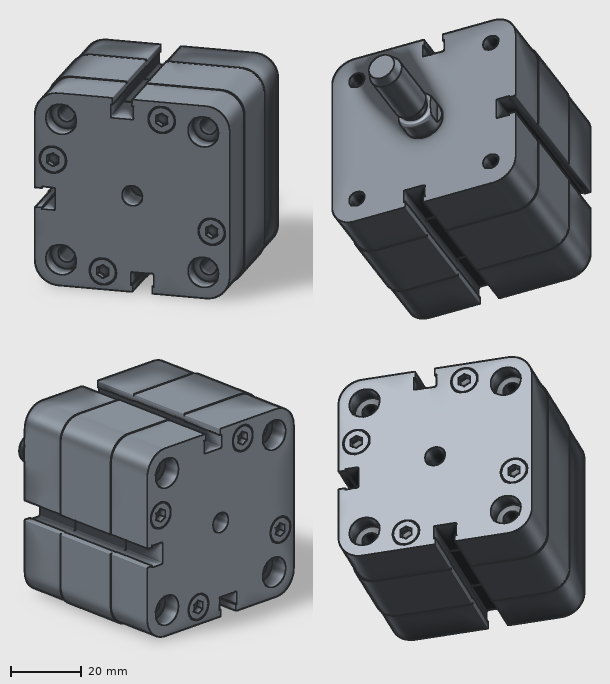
import cadquery as cq
import math


total_length = 79.0
cap_length = 14.9
barrel_length = 20.8
barrel_width = 58.1
cap_width = 57.6
corner_radius = 7.0
body_length = 2 * cap_length + barrel_length

slot_offset = 3.0
slot_mouth_width = 5.8
slot_inner_width = 6.7
slot_lip_depth = 2.05
slot_depth = 6.0
slot_mouth_radius = 0.3
slot_floor_radius = 0.5
slot_angles = (0, 90, 180)

mount_spacing = 42.0
mount_diameter = 4.9
mount_bore_diameter = 9.0
mount_bore_depth = 5.5

screw_offset = 8.7
screw_height = 23.5
screw_centers = (
    (screw_offset, screw_height),
    (-screw_height, screw_offset),
    (-screw_offset, -screw_height),
    (screw_height, -screw_offset),
)
screw_bore_diameter = 8.0
screw_head_diameter = 7.5
screw_gap_depth = 0.8
hex_across_flats = 3.5
hex_depth = 2.4

center_hole_diameter = 6.0
center_hole_depth = 9.5

collar_diameter = 12.0
collar_length = 6.3
collar_edge_radius = 1.3
flats_width = 10.0
flats_length = 4.6
neck_diameter = 8.0
thread_diameter = 10.0
thread_length = 19.5
tip_diameter = 8.0
tip_length = 2.8
thread_end_chamfer = 0.4


def on_y(y):
    """Workplane at the given y, with local x = X and local y = Z; negative extrusions go towards +Y."""
    return cq.Workplane("XZ", origin=(0, y, 0))


def turned(shape, angle):
    """Turn a shape about the cylinder axis, from the top towards -X for positive angles."""
    return shape.rotate((0, 0, 0), (0, 1, 0), -angle)


def slot_cutter(width, start, length):
    """T-slot in the top side of a square block of the given width."""
    surface = width / 2
    mouth = slot_mouth_width / 2
    inner = slot_inner_width / 2
    lip = surface - slot_lip_depth
    floor = surface - slot_depth
    r = slot_mouth_radius
    bend = r * (1 - math.sqrt(0.5))
    profile = (
        on_y(start)
        .center(-slot_offset, 0)
        .moveTo(-mouth - r, surface)
        .threePointArc((-mouth - bend, surface - bend), (-mouth, surface - r))
        .lineTo(-mouth, lip)
        .lineTo(-inner, lip)
        .lineTo(-inner, floor)
        .lineTo(inner, floor)
        .lineTo(inner, lip)
        .lineTo(mouth, lip)
        .lineTo(mouth, surface - r)
        .threePointArc((mouth + bend, surface - bend), (mouth + r, surface))
        .close()
    )
    return profile.extrude(-length).faces("<Z").edges("|Y").fillet(slot_floor_radius)


def body_section(width, start, length):
    """Rounded square block with the sensor slots."""
    section = on_y(start).rect(width, width).extrude(-length).edges("|Y").fillet(corner_radius)
    cutter = slot_cutter(width, start, length)
    for angle in slot_angles:
        section = section.cut(turned(cutter, angle))
    return section


def mounting_holes():
    centers = on_y(0).rect(mount_spacing, mount_spacing, forConstruction=True).vertices()
    through = centers.circle(mount_diameter / 2).extrude(-body_length)
    bores = centers.circle(mount_bore_diameter / 2).extrude(-mount_bore_depth)
    return through.union(bores)


def screw_recess(x, z):
    """Ring gap around a screw head, and the hexagon socket in the head with corners up and down."""
    gap = (
        on_y(0)
        .center(x, z)
        .circle(screw_bore_diameter / 2)
        .circle(screw_head_diameter / 2)
        .extrude(-screw_gap_depth)
    )
    across_corners = hex_across_flats / math.cos(math.pi / 6)
    socket = on_y(0).polygon(6, across_corners).extrude(-hex_depth)
    return gap.union(turned(socket, 30).translate((x, 0, z)))


def piston_rod():
    """Turned rod: collar, neck and threaded end with a conical tip."""
    collar_end = body_length + collar_length
    thread_start = total_length - thread_length
    thread_radius = thread_diameter / 2
    rod = (
        cq.Workplane("XY")
        .moveTo(0, body_length)
        .lineTo(collar_diameter / 2, body_length)
        .lineTo(collar_diameter / 2, collar_end - collar_edge_radius)
        .radiusArc((collar_diameter / 2 - collar_edge_radius, collar_end), -collar_edge_radius)
        .lineTo(neck_diameter / 2, collar_end)
        .lineTo(neck_diameter / 2, thread_start)
        .lineTo(thread_radius - thread_end_chamfer, thread_start)
        .lineTo(thread_radius, thread_start + thread_end_chamfer)
        .lineTo(thread_radius, total_length - tip_length)
        .lineTo(tip_diameter / 2, total_length)
        .lineTo(0, total_length)
        .close()
        .revolve(360, (0, 0, 0), (0, 1, 0))
    )
    return rod.cut(wrench_flat()).cut(turned(wrench_flat(), 180))


def wrench_flat():
    """Flat on the +X side of the collar, running out at 45 degrees."""
    inner = flats_width / 2
    outer = collar_diameter / 2
    collar_end = body_length + collar_length
    flat_start = collar_end - flats_length
    return (
        cq.Workplane("XY")
        .moveTo(inner, collar_end)
        .lineTo(inner, flat_start)
        .lineTo(outer, flat_start - (outer - inner))
        .lineTo(outer, collar_end)
        .close()
        .extrude(collar_diameter / 2, both=True)
    )


body = body_section(cap_width, 0, cap_length)
body = body.union(body_section(barrel_width, cap_length, barrel_length))
body = body.union(body_section(cap_width, cap_length + barrel_length, cap_length))

body = body.cut(mounting_holes())
body = body.cut(on_y(0).circle(center_hole_diameter / 2).extrude(-center_hole_depth))
for x, z in screw_centers:
    body = body.cut(screw_recess(x, z))

result = body.union(piston_rod())